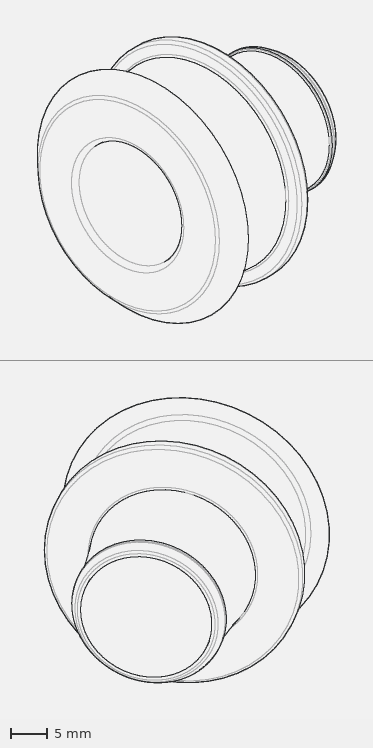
import cadquery as cq

total_length = 33.0
lip_back = 3.3
flange_front = 15.1
flange_thickness = 2.05
flange_back = flange_front + flange_thickness
bead_front = 31.07
bead_width = 0.5
bead_back = bead_front + bead_width

bore_radius = 18.6 / 2
lip_front_radius = 16.03
lip_radius = 18.9
barrel_front_radius = 15.7
barrel_waist_radius = 15.7
barrel_back_radius = 16.05
flange_radius = 36.63 / 2
neck_front_radius = 11.8
neck_waist_radius = 11.0
neck_back_radius = 10.5
bead_radius = 21.8 / 2
end_radius = 10.0

bore_round = 0.75
lip_round = 0.68
barrel_front_round = 0.6
barrel_back_round = 0.3
flange_round = 0.45
neck_front_round = 0.25
neck_back_round = 0.2
bead_round = 0.35
end_round = 0.45

edge_tolerance = 0.005


def turned_body():
    """Revolve the half section, with slightly hollow barrel and neck."""
    barrel_middle = (lip_back + flange_front) / 2
    neck_middle = (flange_back + bead_front) / 2
    section = (
        cq.Workplane("XY")
        .moveTo(bore_radius, 0)
        .lineTo(lip_front_radius, 0)
        .lineTo(lip_radius, lip_back)
        .lineTo(barrel_front_radius, lip_back)
        .threePointArc((barrel_waist_radius, barrel_middle), (barrel_back_radius, flange_front))
        .lineTo(flange_radius, flange_front)
        .lineTo(flange_radius, flange_back)
        .lineTo(neck_front_radius, flange_back)
        .threePointArc((neck_waist_radius, neck_middle), (neck_back_radius, bead_front))
        .lineTo(bead_radius, bead_front)
        .lineTo(bead_radius, bead_back)
        .lineTo(end_radius, total_length)
        .lineTo(bore_radius, total_length)
        .close()
    )
    return section.revolve(360, (0, 0, 0), (0, 1, 0))


def round_edge(body, radius, position, size):
    """Round the circular edge of the given radius at a position along the axis."""
    matching_edges = [
        edge
        for edge in body.edges("%CIRCLE").vals()
        if abs(edge.radius() - radius) < edge_tolerance
        and abs(edge.Center().y - position) < edge_tolerance
    ]
    return body.newObject(matching_edges).fillet(size)


rounded_edges = [
    (bore_radius, 0, bore_round),
    (lip_front_radius, 0, lip_round),
    (barrel_front_radius, lip_back, barrel_front_round),
    (barrel_back_radius, flange_front, barrel_back_round),
    (flange_radius, flange_front, flange_round),
    (flange_radius, flange_back, flange_round),
    (neck_front_radius, flange_back, neck_front_round),
    (neck_back_radius, bead_front, neck_back_round),
    (bead_radius, bead_back, bead_round),
    (end_radius, total_length, end_round),
]

result = turned_body()
for edge_radius, edge_position, round_size in rounded_edges:
    result = round_edge(result, edge_radius, edge_position, round_size)